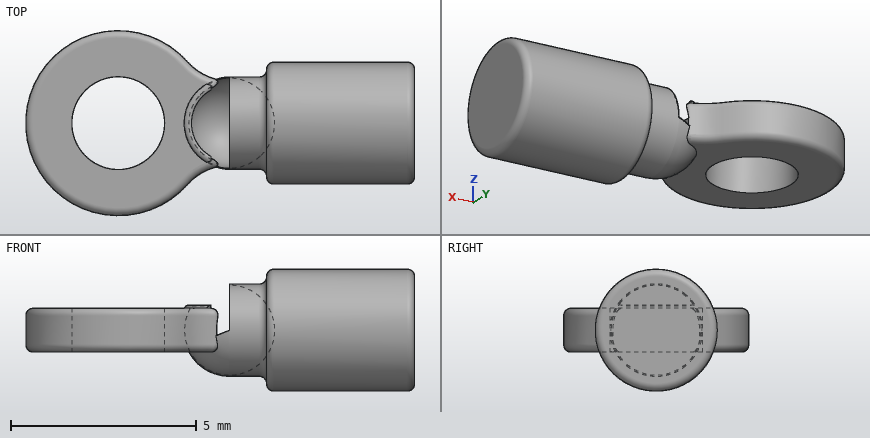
import cadquery as cq
import math

total_length = 10.5
head_radius = 2.5
hole_radius = 1.25
head_thickness = 1.19
tip_end = 5.2
tip_radius = 0.13
waist_half_width = 1.14
neck_radius = 1.25
neck_start = 5.5
barrel_start = 6.5
barrel_radius = 1.65
edge_radius = 0.2
step_radius = 0.19
bowl_wall = 0.03
rim_tilt = 22.0
bead_radius = 0.14
bead_height = 0.08

head_center = head_radius
half_thickness = head_thickness / 2
bowl_radius = neck_radius - bowl_wall
bowl_offset = neck_start - head_center

flank_radius = (bowl_offset**2 + waist_half_width**2 - head_radius**2) / (2 * (head_radius - waist_half_width))
flank_center_y = waist_half_width + flank_radius
joint_angle = math.atan2(flank_center_y, bowl_offset)
tip_angle = math.acos((neck_start - tip_end) / flank_radius)


def flank_point(angle):
    """Point on the upper flank arc, seen from its centre at an angle below the -X direction."""
    return (neck_start - flank_radius * math.cos(angle), flank_center_y - flank_radius * math.sin(angle))


def mirrored(point):
    return (point[0], -point[1])


def head_blank():
    """Ring head with flared flanks and rounded outer edges, before the hole and socket."""
    joint = flank_point(joint_angle)
    middle = flank_point((joint_angle + tip_angle) / 2)
    tip = flank_point(tip_angle)
    return (
        cq.Workplane("XY")
        .workplane(offset=-half_thickness)
        .moveTo(*mirrored(tip))
        .threePointArc(mirrored(middle), mirrored(joint))
        .threePointArc((0, 0), joint)
        .threePointArc(middle, tip)
        .close()
        .extrude(head_thickness)
        .edges("|Z and >X")
        .fillet(tip_radius)
        .faces("<Z or >Z")
        .edges("%CIRCLE")
        .fillet(edge_radius)
    )


def socket_bead(blank):
    """Raised bead along the top edge of the head's spherical socket, ending at the rounded flanks."""
    ring_radius = math.sqrt(neck_radius**2 - half_thickness**2)
    bead_z = half_thickness + bead_height - bead_radius
    ring = cq.Solid.makeTorus(ring_radius, bead_radius, cq.Vector(neck_start, 0, bead_z), cq.Vector(0, 0, 1))
    top_outline = cq.Workplane(blank.faces(">Z").val().outerWire()).toPending()
    return cq.Workplane(ring).intersect(top_outline.extrude(bead_radius, both=True))


def shank():
    """Barrel, neck and ball-shaped end turned about X, with the bowl left solid."""
    step_face_bottom = neck_radius + step_radius
    rounded_top = barrel_radius - edge_radius
    ball_middle = neck_radius * math.sqrt(0.5)
    return (
        cq.Workplane("XY")
        .moveTo(neck_start - neck_radius, 0)
        .threePointArc((neck_start - ball_middle, ball_middle), (neck_start, neck_radius))
        .lineTo(barrel_start - step_radius, neck_radius)
        .radiusArc((barrel_start, step_face_bottom), -step_radius)
        .lineTo(barrel_start, rounded_top)
        .radiusArc((barrel_start + edge_radius, barrel_radius), edge_radius)
        .lineTo(total_length - edge_radius, barrel_radius)
        .radiusArc((total_length, rounded_top), edge_radius)
        .lineTo(total_length, 0)
        .close()
        .revolve(360, (0, 0, 0), (1, 0, 0))
    )


def opening():
    """Space above the bowl's rim, which falls from the neck's end toward the head."""
    reach = 2 * neck_radius
    rim_drop = reach * math.tan(math.radians(rim_tilt))
    return (
        cq.Workplane("XZ")
        .moveTo(neck_start, 0)
        .lineTo(neck_start - reach, -rim_drop)
        .lineTo(neck_start - reach, reach)
        .lineTo(neck_start, reach)
        .close()
        .extrude(reach, both=True)
    )


blank = head_blank()
bowl = cq.Workplane("XY").sphere(bowl_radius).translate((neck_start, 0, 0))
hole = cq.Workplane("XY").center(head_center, 0).circle(hole_radius).extrude(head_thickness, both=True)

result = shank().cut(opening()).union(blank).union(socket_bead(blank)).cut(bowl).cut(hole)